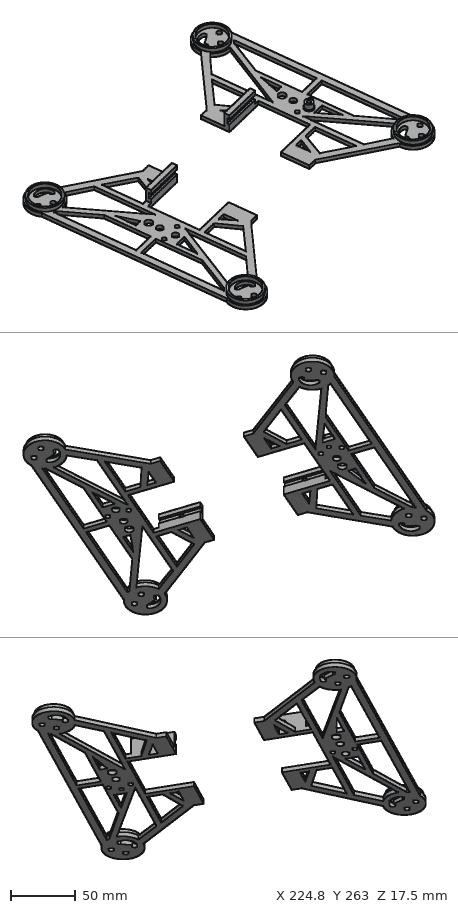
import cadquery as cq

PLATE_T = 4.0
BAR_W = 5.0

LENGTH_X = 224.8
LENGTH_Y = 263.0

MOUNT_D = 34.0
MOUNT_X = (LENGTH_X - MOUNT_D) / 2
MOUNT_Y = (LENGTH_Y - MOUNT_D) / 2
RING_OD = 30.5
RING_ID = 26.5
RING_TOP = 8.0
SCREW_D = 4.5
SCREW_DX = 8.0
SCREW_DY = 9.5
WIRE_R = 11.5
WIRE_ARC_MIDDLE = (-9.0, -7.4)
WIRE_INNER_CORNER = (-1.8, -8.5)

FOOT_Y = 35.8
SHOULDER_Y = 44.0
FOOT_INNER_Y = 49.5
CROSS_Y = 75.5
CROSS_INNER_Y = CROSS_Y + BAR_W
HUB_Y = 103.5
HUB_WINDOW_Y = 99.5
RAIL_INNER_Y = 123.3
RAIL_Y = 129.5

LEG_X = 24.5
LEG_OUTER_X = LEG_X + BAR_W
FOOT_X = 51.5
HUB_WINDOW_X = 19.5

HUB_HOLE_Y = 91.2
WIDE_HOLE_X, WIDE_HOLE_D = -13.0, 7.0
MIDDLE_HOLE_X, MIDDLE_HOLE_D = -2.4, 6.0
POST_X, POST_HOLE_D = 12.5, 6.0
PIN_HOLE_X, PIN_HOLE_D = 8.0, 4.0
PIN_HOLE_DY = 9.0

POST_D = 7.5
POST_TOP = 10.3
POST_BORE_D = 3.5
FLANGE_D = 9.0
FLANGE_H = 1.0

WALL_END_Y = 71.2
WALL_TOP = 17.5
GROOVE_BOTTOM, GROOVE_TOP = 8.1, 13.1
GROOVE_DEPTH = 2.0
WALL_HOLE_Y = 52.5
WALL_HOLE_D = 4.0

SIDES = (-1, 1)


def prism(points, height):
    return cq.Workplane("XY").polyline(points).close().extrude(height)


def cylinder(x, y, diameter, bottom, top):
    return cq.Workplane("XY", origin=(x, y, bottom)).circle(diameter / 2).extrude(top - bottom)


def mirrored_points(points, side):
    return [(side * x, y) for x, y in points]


def truss_plate():
    """Outline of the truss with its windows cut out; window corners at the mounts end under the discs."""
    right_half = [
        (LEG_X, CROSS_Y),
        (LEG_X, FOOT_Y),
        (FOOT_X, FOOT_Y),
        (FOOT_X, SHOULDER_Y),
        (100.0, 104.4),
        (MOUNT_X, RAIL_Y),
    ]
    left_half = mirrored_points(reversed(right_half), -1)
    plate = prism(right_half + left_half, PLATE_T)

    rail_window = [
        (BAR_W / 2, HUB_Y),
        (46.5, HUB_Y),
        (84.0, RAIL_INNER_Y),
        (BAR_W / 2, RAIL_INNER_Y),
    ]
    strut_window = [
        (14.2, CROSS_INNER_Y),
        (72.3, CROSS_INNER_Y),
        (91.2, 104.5),
        (84.0, 117.5),
    ]
    leg_window = [
        (LEG_OUTER_X, CROSS_Y),
        (68.5, CROSS_Y),
        (50.0, 52.3),
        (LEG_OUTER_X, 62.5),
    ]
    foot_window = [
        (LEG_OUTER_X, FOOT_INNER_Y),
        (42.8, FOOT_INNER_Y),
        (LEG_OUTER_X, 56.5),
    ]
    for side in SIDES:
        for window in (rail_window, strut_window, leg_window, foot_window):
            plate = plate.cut(prism(mirrored_points(window, side), PLATE_T))

    for side, inner_corner_y in ((-1, 93.3), (1, 88.9)):
        hub_window = [
            (HUB_WINDOW_X, HUB_WINDOW_Y),
            (39.0, HUB_WINDOW_Y),
            (HUB_WINDOW_X, inner_corner_y),
        ]
        plate = plate.cut(prism(mirrored_points(hub_window, side), PLATE_T))
    return plate


def add_mount(body, x):
    """Base disc, raised ring, screw holes and wire opening of one motor mount."""
    disc = cylinder(x, MOUNT_Y, MOUNT_D, 0, PLATE_T)
    ring = cylinder(x, MOUNT_Y, RING_OD, PLATE_T, RING_TOP)
    recess = cylinder(x, MOUNT_Y, RING_ID, PLATE_T, RING_TOP)
    body = body.union(disc).union(ring.cut(recess))

    for dx, dy in ((-SCREW_DX, 0), (SCREW_DX, 0), (0, -SCREW_DY), (0, SCREW_DY)):
        body = body.cut(cylinder(x + dx, MOUNT_Y + dy, SCREW_D, 0, PLATE_T))

    wire_opening = (
        cq.Workplane("XY", origin=(x, MOUNT_Y, 0))
        .moveTo(-SCREW_DX - SCREW_D / 2, 0)
        .threePointArc(WIRE_ARC_MIDDLE, (0, -WIRE_R))
        .lineTo(0, -SCREW_DY)
        .lineTo(*WIRE_INNER_CORNER)
        .lineTo(-SCREW_DX + SCREW_D / 2, 0)
        .close()
        .extrude(PLATE_T)
    )
    return body.cut(wire_opening)


def cut_hub_holes(body):
    holes = (
        (WIDE_HOLE_X, HUB_HOLE_Y, WIDE_HOLE_D),
        (MIDDLE_HOLE_X, HUB_HOLE_Y, MIDDLE_HOLE_D),
        (PIN_HOLE_X, HUB_HOLE_Y - PIN_HOLE_DY, PIN_HOLE_D),
        (PIN_HOLE_X, HUB_HOLE_Y + PIN_HOLE_DY, PIN_HOLE_D),
    )
    for x, y, diameter in holes:
        body = body.cut(cylinder(x, y, diameter, 0, PLATE_T))
    return body


def add_wall(body):
    """Upright wall on the left leg, with a groove along its inner face and a cross hole."""
    length = WALL_END_Y - FOOT_Y
    wall = cq.Workplane("XY").box(BAR_W, length, WALL_TOP, centered=False)
    wall = wall.translate((-LEG_OUTER_X, FOOT_Y, 0))
    groove = cq.Workplane("XY").box(GROOVE_DEPTH, length, GROOVE_TOP - GROOVE_BOTTOM, centered=False)
    groove = groove.translate((-LEG_X - GROOVE_DEPTH, FOOT_Y, GROOVE_BOTTOM))
    hole_z = (GROOVE_BOTTOM + GROOVE_TOP) / 2
    hole = (
        cq.Workplane("YZ", origin=(-LEG_OUTER_X, WALL_HOLE_Y, hole_z))
        .circle(WALL_HOLE_D / 2)
        .extrude(BAR_W)
    )
    return body.union(wall.cut(groove).cut(hole))


def frame():
    """Everything the two frames share, in the +Y position."""
    body = truss_plate()
    for side in SIDES:
        body = add_mount(body, side * MOUNT_X)
    return add_wall(cut_hub_holes(body))


def frame_with_post():
    """Frame at +Y, with a hollow flanged post on its hub."""
    flange = cylinder(POST_X, HUB_HOLE_Y, FLANGE_D, PLATE_T, PLATE_T + FLANGE_H)
    post = cylinder(POST_X, HUB_HOLE_Y, POST_D, PLATE_T, POST_TOP)
    bore = cylinder(POST_X, HUB_HOLE_Y, POST_BORE_D, 0, POST_TOP)
    return frame().union(flange).union(post).cut(bore)


def frame_with_hole():
    """Mirrored frame at -Y, with an open hole in place of the post."""
    hole = cylinder(POST_X, HUB_HOLE_Y, POST_HOLE_D, 0, PLATE_T)
    return frame().cut(hole).mirror("XZ")


post_frame = frame_with_post()
hole_frame = frame_with_hole()

result = cq.Compound.makeCompound([post_frame.val(), hole_frame.val()])